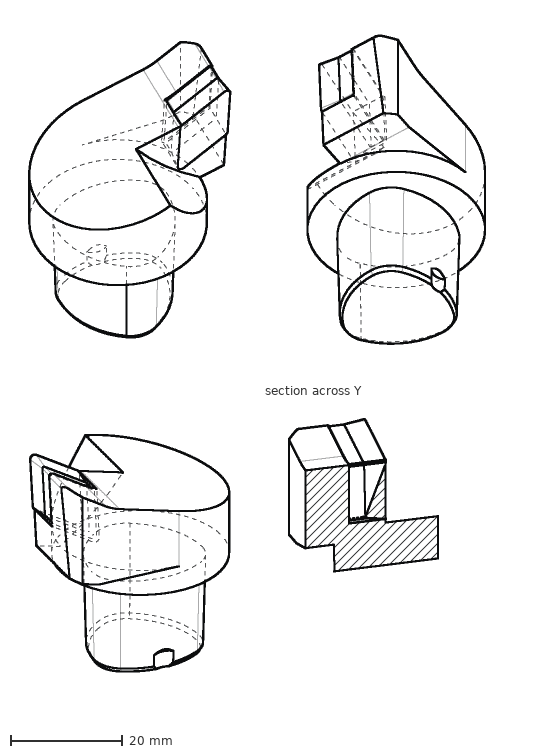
import cadquery as cq
import math


flange_radius = 16.0
rim_height = 12.0
top_slope = 15.0
head_underside = 5.0
underside_slope = 15.0
swing_radius = 25.0
seat_blend_radius = 10.0
head_setback = 0.29

gullet_start = 3.5
gullet_radius = 50.0
gullet_slope_start = 54.0

shank_length = 19.0
shank_width = 22.0
lobe_radius = 6.26
lobe_reach = 11.75
lobe_angles = (0, 120, 240)
arc_half_angle = 30.0
shank_taper = 1 / 40
shank_chamfer_height = 0.9
shank_chamfer_depth = 0.5

keyway_radius = 3.0
keyway_width = 4.0
keyway_height = 3.2
keyway_end_slope = 45.0

nose_angle = 55.0
inscribed_diameter = 9.525
insert_thickness = 4.1
clearance_angle = 7.0
nose_radius = 0.8
nose_reach_y = 22.0
nose_reach_z = 25.0
upper_edge_slope = 32.0

shim_thickness = 3.2


def tan(degrees):
    return math.tan(math.radians(degrees))


def sin(degrees):
    return math.sin(math.radians(degrees))


def cos(degrees):
    return math.cos(math.radians(degrees))



upper_edge_angle = 180 + upper_edge_slope
lower_edge_angle = upper_edge_angle + nose_angle
nose_axis_angle = upper_edge_angle + nose_angle / 2

nose_y = nose_reach_y - nose_radius
nose_z = nose_reach_z - nose_radius

shim_inset = insert_thickness * tan(clearance_angle)


def nose_apex(offset):
    """Sharp corner of two edge lines that pass the nose centre at this offset."""
    reach = offset / sin(nose_angle / 2)
    return nose_y - reach * cos(nose_axis_angle), nose_z - reach * sin(nose_axis_angle)


def rhombus_prism(inset, x_front, thickness, taper=0):
    """Round-cornered insert shape, its edges moved in by inset, extruded toward -X."""
    side = (inscribed_diameter - 2 * inset) / sin(nose_angle)
    y, z = nose_apex(nose_radius - inset)
    upper_y = side * cos(upper_edge_angle)
    upper_z = side * sin(upper_edge_angle)
    lower_y = side * cos(lower_edge_angle)
    lower_z = side * sin(lower_edge_angle)
    corners = [
        (y, z),
        (y + upper_y, z + upper_z),
        (y + upper_y + lower_y, z + upper_z + lower_z),
        (y + lower_y, z + lower_z),
        (y, z),
    ]
    outline = cq.Sketch().polygon(corners).vertices().fillet(nose_radius - inset)
    front = cq.Workplane("YZ", origin=(x_front, 0, 0)).placeSketch(outline)
    return front.extrude(-thickness, taper=taper)


insert = rhombus_prism(0, 0, insert_thickness, clearance_angle)
shim = rhombus_prism(shim_inset, -insert_thickness, shim_thickness)



def top_height(y):
    """Height of the sloping top above the flange underside."""
    return rim_height + (y + flange_radius) * tan(top_slope)


def make_side_prism():
    """Side outline of flange and head, spanning the full flange width in X."""
    apex_y, apex_z = nose_apex(nose_radius - head_setback)

    front_run = cos(lower_edge_angle) / sin(lower_edge_angle)
    apex_clearance = apex_z - head_underside - (apex_y - flange_radius) * tan(underside_slope)
    front_drop = apex_clearance / (1 - front_run * tan(underside_slope))
    toe = (apex_y - front_drop * front_run, apex_z - front_drop)

    seat_run = (apex_z - top_height(apex_y)) / (tan(upper_edge_slope) - tan(top_slope))
    valley_y = apex_y - seat_run
    valley_z = top_height(valley_y)

    outline = [
        (-flange_radius, 0),
        (flange_radius, 0),
        (flange_radius, head_underside),
        toe,
        (apex_y, apex_z),
        (valley_y, valley_z),
        (-flange_radius, rim_height),
    ]
    prism = cq.Workplane("YZ").polyline(outline).close().extrude(flange_radius, both=True)
    valley = cq.selectors.NearestToPointSelector((0, valley_y, valley_z))
    nose = cq.selectors.NearestToPointSelector((0, apex_y, apex_z))
    prism = prism.edges(valley).fillet(seat_blend_radius)
    return prism.edges(nose).fillet(nose_radius - head_setback)


def make_footprint():
    """Flange column with the head's overhanging quarter on its -X +Y side."""
    column = cq.Workplane("XY").circle(flange_radius).extrude(nose_reach_z)
    base = cq.Workplane("XY", origin=(0, 0, head_underside))
    head_height = nose_reach_z - head_underside
    quarter = base.rect(-flange_radius, swing_radius, centered=False).extrude(head_height)
    swing = base.circle(swing_radius).extrude(head_height)
    return column.union(quarter.intersect(swing))


def make_gullet():
    """Space above a hollow floor that falls from the gullet edge out to the flange rim."""
    edge_z = top_height(gullet_start)
    center_y = gullet_start + gullet_radius * sin(gullet_slope_start)
    center_z = edge_z + gullet_radius * cos(gullet_slope_start)

    def floor_point(y):
        return y, center_z - math.sqrt(gullet_radius**2 - (y - center_y) ** 2)

    middle = floor_point((gullet_start + flange_radius) / 2)
    end = floor_point(flange_radius)
    floor = cq.Workplane("YZ").moveTo(gullet_start, edge_z).threePointArc(middle, end)
    section = floor.lineTo(flange_radius, nose_reach_z).lineTo(gullet_start, nose_reach_z).close()
    return section.extrude(flange_radius)




def shank_section(shrink, z):
    """Lobed outline: three small lobe arcs joined by three large arcs about the same centres."""
    center_reach = lobe_reach - lobe_radius
    lobe = lobe_radius - shrink
    flat = shank_width - lobe_radius - shrink

    def arc_point(center_angle, radius, angle):
        return (
            center_reach * cos(center_angle) + radius * cos(angle),
            center_reach * sin(center_angle) + radius * sin(angle),
        )

    outline = cq.Workplane("XY", origin=(0, 0, z)).moveTo(*arc_point(lobe_angles[0], lobe, -arc_half_angle))
    for lobe_angle in lobe_angles:
        outline = outline.threePointArc(
            arc_point(lobe_angle, lobe, lobe_angle),
            arc_point(lobe_angle, lobe, lobe_angle + arc_half_angle),
        )
        flat_angle = lobe_angle + 2 * arc_half_angle
        opposite = flat_angle + 180
        outline = outline.threePointArc(
            arc_point(opposite, flat, flat_angle),
            arc_point(opposite, flat, flat_angle + arc_half_angle),
        )
    return outline.close().val()


def make_shank():
    chamfer_z = -shank_length + shank_chamfer_height
    taper_shrink = -chamfer_z * shank_taper
    top = shank_section(0, 0)
    chamfer_top = shank_section(taper_shrink, chamfer_z)
    bottom = shank_section(taper_shrink + shank_chamfer_depth, -shank_length)
    body = cq.Solid.makeLoft([top, chamfer_top], True)
    tip = cq.Solid.makeLoft([chamfer_top, bottom], True)
    return cq.Workplane(body).union(cq.Workplane(tip))


def make_keyway():
    """Round groove parallel to the tool axis with a conical upper end."""
    side_reach = shank_width - lobe_reach - shank_length * shank_taper
    axis_x = -side_reach - math.sqrt(keyway_radius**2 - (keyway_width / 2) ** 2)
    apex_height = keyway_height + keyway_radius * tan(keyway_end_slope)
    half_section = cq.Workplane("XZ").polyline(
        [(0, 0), (keyway_radius, 0), (keyway_radius, keyway_height), (0, apex_height)]
    )
    cutter = half_section.close().revolve(360, (0, 0, 0), (0, 1, 0))
    return cutter.translate((axis_x, 0, -shank_length))



pocket = rhombus_prism(0, 0, insert_thickness + shim_thickness)

holder = (
    make_footprint()
    .intersect(make_side_prism())
    .cut(make_gullet())
    .union(make_shank().cut(make_keyway()))
    .cut(pocket)
)

result = cq.Compound.makeCompound([holder.val(), shim.val(), insert.val()])